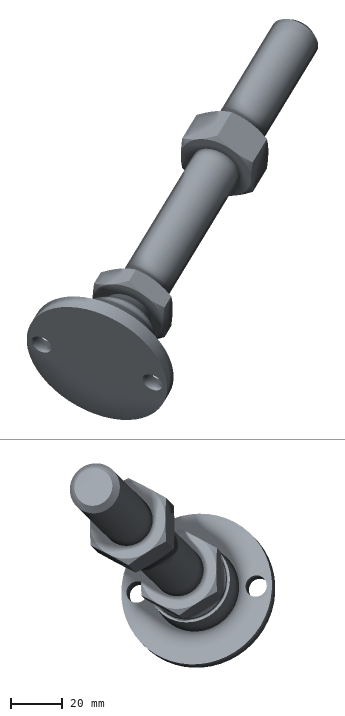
import cadquery as cq
import math

LENGTH = 188.0

PLATE_DIAMETER = 60.0
PLATE_THICKNESS = 6.0
HOLE_DIAMETER = 8.5
HOLE_SPACING = 47.4

SOCKET_HEIGHT = 14.0
SOCKET_BOTTOM_RADIUS = 17.0
SOCKET_TOP_RADIUS = 16.4

COLLAR_RADIUS = 15.2
COLLAR_HEIGHT = 1.7
BALL_HEIGHT = 5.3

ROD_RADIUS = 10.0
ROD_CHAMFER = 2.5

NUT_ACROSS_FLATS = 30.0
LOWER_NUT_START = 29.0
LOWER_NUT_HEIGHT = 9.0
UPPER_NUT_START = 111.7
UPPER_NUT_HEIGHT = 16.0
NUT_CHAMFER_ANGLE = 30.0

BOTTOM = -LENGTH / 2
TOP = LENGTH / 2


def make_turned_body():
    """Revolve the plate, socket, collar, ball and rod as one profile."""
    plate_radius = PLATE_DIAMETER / 2
    plate_top = BOTTOM + PLATE_THICKNESS
    socket_top = plate_top + SOCKET_HEIGHT
    collar_top = socket_top + COLLAR_HEIGHT
    ball_top = collar_top + BALL_HEIGHT

    socket_taper = SOCKET_BOTTOM_RADIUS - SOCKET_TOP_RADIUS
    wall_radius = (SOCKET_HEIGHT**2 + socket_taper**2) / (2 * socket_taper)
    socket_mid_y = (plate_top + socket_top) / 2
    wall_centre = SOCKET_BOTTOM_RADIUS - wall_radius
    socket_mid_radius = wall_centre + math.sqrt(wall_radius**2 - (SOCKET_HEIGHT / 2) ** 2)

    ball_mid_y = (collar_top + ball_top) / 2
    ball_centre = ball_mid_y - (COLLAR_RADIUS**2 - ROD_RADIUS**2) / (2 * BALL_HEIGHT)
    ball_radius = math.hypot(COLLAR_RADIUS, collar_top - ball_centre)
    ball_mid_radius = math.sqrt(ball_radius**2 - (ball_mid_y - ball_centre) ** 2)

    return (
        cq.Workplane("XY")
        .moveTo(0, BOTTOM)
        .lineTo(plate_radius, BOTTOM)
        .lineTo(plate_radius, plate_top)
        .lineTo(SOCKET_BOTTOM_RADIUS, plate_top)
        .threePointArc((socket_mid_radius, socket_mid_y), (SOCKET_TOP_RADIUS, socket_top))
        .lineTo(COLLAR_RADIUS, socket_top)
        .lineTo(COLLAR_RADIUS, collar_top)
        .threePointArc((ball_mid_radius, ball_mid_y), (ROD_RADIUS, ball_top))
        .lineTo(ROD_RADIUS, TOP - ROD_CHAMFER)
        .lineTo(ROD_RADIUS - ROD_CHAMFER, TOP)
        .lineTo(0, TOP)
        .close()
        .revolve(360, (0, 0), (0, 1))
    )


def make_nut(start, height):
    """Hexagon nut with corners on +Z and -Z and both ends chamfered."""
    nut_bottom = BOTTOM + start
    nut_top = nut_bottom + height
    flat_radius = NUT_ACROSS_FLATS / 2
    corner_radius = flat_radius / math.cos(math.pi / 6)
    chamfer_depth = (corner_radius - flat_radius) * math.tan(math.radians(NUT_CHAMFER_ANGLE))

    corner_angles = [math.radians(90 + 60 * i) for i in range(6)]
    corners = [(corner_radius * math.cos(a), corner_radius * math.sin(a)) for a in corner_angles]
    hexagon = (
        cq.Workplane("XZ", origin=(0, nut_bottom, 0))
        .polyline(corners)
        .close()
        .extrude(-height)
    )

    envelope_profile = [
        (0, nut_bottom),
        (flat_radius, nut_bottom),
        (corner_radius, nut_bottom + chamfer_depth),
        (corner_radius, nut_top - chamfer_depth),
        (flat_radius, nut_top),
        (0, nut_top),
    ]
    envelope = cq.Workplane("XY").polyline(envelope_profile).close().revolve(360, (0, 0), (0, 1))
    return hexagon.intersect(envelope)


def make_plate_holes():
    """Two fixing holes through the plate, on the X axis."""
    return (
        cq.Workplane("XZ", origin=(0, BOTTOM, 0))
        .pushPoints([(-HOLE_SPACING / 2, 0), (HOLE_SPACING / 2, 0)])
        .circle(HOLE_DIAMETER / 2)
        .extrude(-PLATE_THICKNESS)
    )


result = (
    make_turned_body()
    .union(make_nut(LOWER_NUT_START, LOWER_NUT_HEIGHT))
    .union(make_nut(UPPER_NUT_START, UPPER_NUT_HEIGHT))
    .cut(make_plate_holes())
)